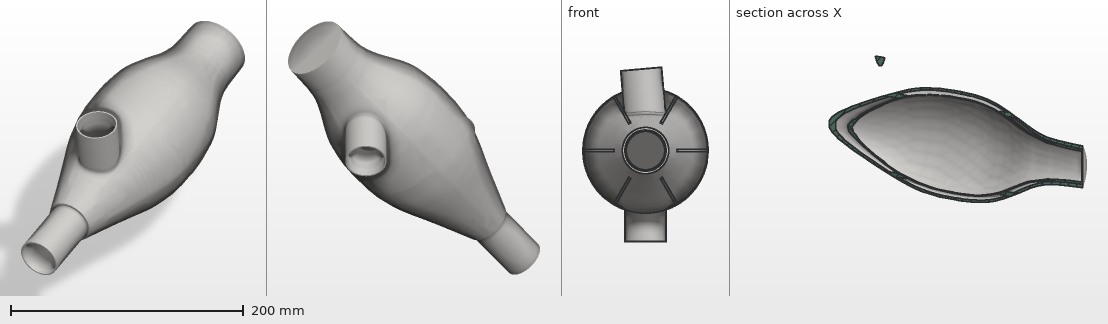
import cadquery as cq
import math


overall_width = 107.66
overall_height = 149.86

total_length = 303.91
jacket_front = 52.7
bulb_crest = 178.0
neck_start = 279.8
fin_front = 75.0
fin_rear = 268.0

pipe_radius = 17.7
sheet = 1.2
jacket_wall = 2.2
crest_radius = overall_width / 2
neck_radius = 28.9
rear_radius = 28.1
coolant_gap = 3.0

fin_count = 6
fin_thickness = 2.0
fin_overreach = 2.5

port_bore_radius = pipe_radius - sheet
port_fillet = 2.5
top_port_y = 105.4
top_port_tilt = 5.0
top_port_pivot_z = 27.0
top_port_peak_z = 71.6
bottom_port_y = 229.0
bottom_port_end_z = top_port_peak_z - overall_height

jacket_outline = [
    (jacket_front, pipe_radius + jacket_wall),
    (107.7, 39.1),
    (144.3, 51.0),
    (bulb_crest, crest_radius),
    (217.6, 49.2),
    (239.6, 40.1),
    (neck_start, neck_radius),
]
front_cone_slope = (1.0, 0.34)
rear_neck_slope = (total_length - neck_start, rear_radius - neck_radius)

vessel_outline = [
    (jacket_front, pipe_radius),
    *[(y, radius - jacket_wall - coolant_gap) for y, radius in jacket_outline[1:-1]],
    (neck_start, neck_radius - jacket_wall),
]
straight_pipe_slope = (1.0, 0.0)


def axial_solid(outline, start_slope, inset=0.0, start_y=None, end_y=total_length):
    """Solid of revolution about Y: bulb, rear neck and an optional straight front pipe."""
    bulb = [(radius - inset, y) for y, radius in outline]
    front_radius, front_y = bulb[0]
    slopes = [(s[1], s[0]) for s in (start_slope, rear_neck_slope)]
    neck_taper = rear_neck_slope[1] / rear_neck_slope[0]
    end_radius = bulb[-1][0] + neck_taper * (end_y - neck_start)
    first_y = front_y if start_y is None else start_y
    profile = cq.Workplane("XY").moveTo(0, first_y).lineTo(front_radius, first_y)
    if first_y < front_y:
        profile = profile.lineTo(front_radius, front_y)
    return (
        profile.spline(bulb[1:], tangents=slopes, includeCurrent=True)
        .lineTo(end_radius, end_y)
        .lineTo(0, end_y)
        .close()
        .revolve(360, (0, 0, 0), (0, 1, 0))
    )


def top_port(radius):
    """Tilted cylinder leaning toward -X, its raised rim edge at the peak height."""
    tilt = math.radians(top_port_tilt)
    rim_rise = pipe_radius * math.sin(tilt)
    length = (top_port_peak_z - rim_rise - top_port_pivot_z) / math.cos(tilt)
    return (
        cq.Workplane("XY")
        .circle(radius)
        .extrude(length)
        .rotate((0, 0, 0), (0, 1, 0), -top_port_tilt)
        .translate((0, top_port_y, top_port_pivot_z))
    )


def bottom_port(radius):
    """Vertical cylinder from the chamber axis down to the lower port end."""
    return cq.Workplane("XY").center(0, bottom_port_y).circle(radius).extrude(bottom_port_end_z)


def make_vessel():
    """Closed inner vessel: inlet pipe, bulb and a flat rear end wall."""
    inside = axial_solid(
        vessel_outline, straight_pipe_slope, inset=sheet, start_y=0.0, end_y=total_length - sheet
    )
    return vessel_envelope.cut(inside)


def fin_plate(angle):
    """Flat lengthwise plate running from the axis to just beyond the crest."""
    return (
        cq.Workplane("XY")
        .box(crest_radius + fin_overreach, fin_rear - fin_front, fin_thickness, centered=(False, False, True))
        .translate((0, fin_front, 0))
        .rotate((0, 0, 0), (0, 1, 0), angle)
    )


def make_filled_jacket():
    """Jacket and port outsides as one solid block, with fillets where the ports leave the bulb."""
    body = jacket_envelope
    for port in (top_port(pipe_radius), bottom_port(pipe_radius)):
        body = body.union(port)
    port_roots = body.edges("%BSPLINE").edges(
        cq.selectors.BoxSelector(
            (-pipe_radius, top_port_y - pipe_radius, -crest_radius),
            (pipe_radius, bottom_port_y + pipe_radius, crest_radius),
        )
    )
    return port_roots.fillet(port_fillet)


def make_jacket():
    """Thin outer jacket, open through both ports and slotted for the fins."""
    cavity = axial_solid(jacket_outline, front_cone_slope, inset=jacket_wall)
    body = filled_jacket.cut(cavity)
    body = body.cut(top_port(port_bore_radius))
    body = body.cut(bottom_port(port_bore_radius))
    for angle in fin_angles:
        body = body.cut(fin_plate(angle))
    return body


def make_fin(angle):
    """Fin filling its jacket slot and reaching inward to the vessel."""
    return filled_jacket.intersect(fin_plate(angle)).cut(vessel_envelope)


jacket_envelope = axial_solid(jacket_outline, front_cone_slope)
vessel_envelope = axial_solid(vessel_outline, straight_pipe_slope, start_y=0.0)
filled_jacket = make_filled_jacket()
fin_angles = [i * 360 / fin_count for i in range(fin_count)]

jacket = make_jacket()
vessel = make_vessel()
fins = [make_fin(angle) for angle in fin_angles]

result = cq.Compound.makeCompound([jacket.val(), vessel.val(), *[fin.val() for fin in fins]])